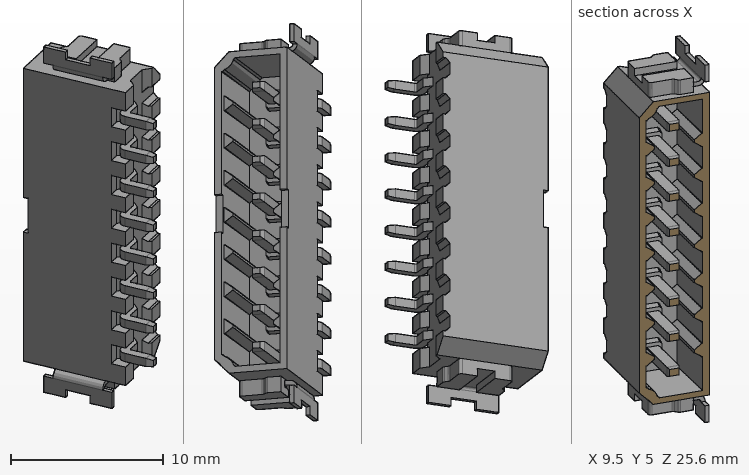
import cadquery as cq


BODY_DEPTH = 7.5
BODY_THICKNESS = 5.0
TOTAL_HEIGHT = 25.6
CLIP_REACH = 1.95
BODY_HALF = TOTAL_HEIGHT / 2 - CLIP_REACH
CORNER_CHAMFER = 1.0

SIDE_WALL = 0.49
END_WALL = 0.44
WALL_DRAFT = 0.08
FLOOR_X = 5.63
CORNER_BEAD = 0.87
BEAD_STEP = 0.13
BEAD_MIDDLE = 0.5
MOUTH_NOTCH_DEPTH = 0.33
MOUTH_NOTCH_WIDTH = 2.55

PIN_COUNT = 8
PITCH = 2.5
PIN_Y = BODY_THICKNESS / 2
PIN_ZS = [(i - (PIN_COUNT - 1) / 2) * PITCH for i in range(PIN_COUNT)]
BLADE_TIP_X = 1.18
BLADE_TAPER = 0.49
BLADE_Y, BLADE_Z = 0.85, 0.65
BLADE_TIP_Y, BLADE_TIP_Z = 0.55, 0.4
TAIL_SIZE = 0.61
TAIL_END_X = 9.5
TAIL_TAPER = 0.49
TAIL_TIP_SIZE = 0.45
BEND_RADIUS = 0.56
BEND_INNER_RADIUS = 0.13
ELBOW_Y = 1.72
ELBOW_OFFSET = 0.25

BOSS_Y, BOSS_Z = 1.43, 1.33
BOSS_HEIGHT = 0.5
BOSS_TAPER = 0.08
BOSS_CORNER = 0.15

RIB_START_X = 0.5
RIB_HEIGHT = 0.55
RIB_WIDTH = 0.97
RIB_TIP_WIDTH = 0.2

GROOVE_DEPTH = 0.49
GROOVE_BOTTOM_Y = 1.66
GROOVE_TOP_Y = 3.33
NOTCH_DEPTH = 1.05
NOTCH_HEIGHT = 1.4
NOTCH_ROOF_Y = 0.77
GUSSET_SIZE = 0.3

BLOCK_HEIGHT = 1.05
BLOCK_BOTTOM_Y = 1.0
BLOCK_TOP_Y = BODY_THICKNESS - CORNER_CHAMFER
BLOCK_CENTER_X = 4.0
BLOCK_WIDE = 4.4
BLOCK_NARROW = 3.8
BLOCK_SHOULDER_Y = 2.0
BLOCK_CORNER_RADIUS = 0.2
CHANNEL_WIDTH = 1.23

CLIP_THICKNESS = 0.3
CLIP_PLATE_Z = 0.23
CLIP_BEND_RADIUS = 0.5
CLIP_BEND_WIDTH = 3.65
CLIP_SHOULDER_Y = 0.92
CLIP_SHOULDER_RADIUS = 0.13
CLIP_NECK_WIDTH = 2.6
CLIP_FOOT_WIDTH = 5.02
CLIP_FOOT_START = 0.75
CLIP_NOTCH_WIDTH = 1.8
CLIP_NOTCH_DEPTH = 0.56


def box(x0, x1, y0, y1, z0, z1):
    """Box between opposite corner coordinates."""
    return cq.Workplane("XY").box(x1 - x0, y1 - y0, z1 - z0, centered=False).translate((x0, y0, z0))


def centered_section(x, y_size, z_size):
    """Rectangle across X, centred on the pin line."""
    return cq.Workplane("YZ", origin=(x, PIN_Y, 0)).rect(y_size, z_size)


def make_shell():
    """Solid housing block with the two keyed corners chamfered."""
    shell = box(0, BODY_DEPTH, 0, BODY_THICKNESS, -BODY_HALF, BODY_HALF)
    return shell.edges("|X and >Y").chamfer(CORNER_CHAMFER)


def make_cavity():
    """Open cavity with beaded corners on the keyed side and drafted side walls."""
    bottom = SIDE_WALL + WALL_DRAFT
    top = BODY_THICKNESS - bottom
    end = BODY_HALF - END_WALL
    bead_end = CORNER_BEAD - BEAD_STEP

    def corner(along_y, along_z, side):
        return (top - along_y, side * (end - along_z))

    cavity = (
        cq.Workplane("YZ")
        .moveTo(bottom, -end)
        .lineTo(*corner(CORNER_BEAD, 0, -1))
        .lineTo(*corner(bead_end, BEAD_STEP, -1))
        .threePointArc(corner(BEAD_MIDDLE, BEAD_MIDDLE, -1), corner(BEAD_STEP, bead_end, -1))
        .lineTo(*corner(0, CORNER_BEAD, -1))
        .lineTo(*corner(0, CORNER_BEAD, 1))
        .lineTo(*corner(BEAD_STEP, bead_end, 1))
        .threePointArc(corner(BEAD_MIDDLE, BEAD_MIDDLE, 1), corner(bead_end, BEAD_STEP, 1))
        .lineTo(*corner(CORNER_BEAD, 0, 1))
        .lineTo(bottom, end)
        .close()
        .extrude(FLOOR_X)
    )
    for wall, opened, half in (
        (bottom, SIDE_WALL, end),
        (top, BODY_THICKNESS - SIDE_WALL, end - CORNER_BEAD),
    ):
        wedge = (
            cq.Workplane("XY", origin=(0, 0, -half))
            .polyline([(0, opened), (0, PIN_Y), (FLOOR_X, PIN_Y), (FLOOR_X, wall)])
            .close()
            .extrude(2 * half)
        )
        cavity = cavity.union(wedge)
    return cavity


def make_rib(z, wall_y, inward):
    """Tapered rib with a narrow flat crest, buried in the side wall; inward is +1 or -1 along Y."""
    base_y = wall_y + inward * WALL_DRAFT
    return (
        cq.Workplane("YZ", origin=(RIB_START_X, 0, z))
        .polyline([
            (wall_y - inward * WALL_DRAFT, -RIB_WIDTH / 2),
            (base_y, -RIB_WIDTH / 2),
            (base_y + inward * RIB_HEIGHT, -RIB_TIP_WIDTH / 2),
            (base_y + inward * RIB_HEIGHT, RIB_TIP_WIDTH / 2),
            (base_y, RIB_WIDTH / 2),
            (wall_y - inward * WALL_DRAFT, RIB_WIDTH / 2),
        ])
        .close()
        .extrude(FLOOR_X - RIB_START_X)
    )


def make_boss():
    """Tapered boss with chamfered corners on the cavity floor."""
    boss = (
        centered_section(FLOOR_X, BOSS_Y, BOSS_Z)
        .workplane(offset=-BOSS_HEIGHT)
        .rect(BOSS_Y - 2 * BOSS_TAPER, BOSS_Z - 2 * BOSS_TAPER)
        .loft()
    )
    return boss.edges("not(|Y or |Z)").chamfer(BOSS_CORNER)


def make_groove():
    """Full-length groove with 45 degree flanks in the rear face."""
    rear = BODY_DEPTH
    floor = BODY_DEPTH - GROOVE_DEPTH
    return (
        cq.Workplane("XY", origin=(0, 0, -BODY_HALF))
        .polyline([
            (rear, GROOVE_BOTTOM_Y - GROOVE_DEPTH),
            (floor, GROOVE_BOTTOM_Y),
            (floor, GROOVE_TOP_Y),
            (rear, GROOVE_TOP_Y + GROOVE_DEPTH),
        ])
        .close()
        .extrude(2 * BODY_HALF)
    )


def make_pin_notch():
    """Slot for one tail: sloped-roof pocket below the groove, slot with 45 degree gussets above."""
    deep = BODY_DEPTH - NOTCH_DEPTH
    floor = BODY_DEPTH - GROOVE_DEPTH
    half = NOTCH_HEIGHT / 2
    pocket = (
        cq.Workplane("XY", origin=(0, 0, -half))
        .polyline([
            (deep, 0),
            (deep, NOTCH_ROOF_Y),
            (floor, NOTCH_ROOF_Y + floor - deep),
            (floor, GROOVE_TOP_Y),
            (BODY_DEPTH, GROOVE_TOP_Y),
            (BODY_DEPTH, 0),
        ])
        .close()
        .extrude(NOTCH_HEIGHT)
    )
    slot = (
        cq.Workplane("XZ", origin=(0, GROOVE_TOP_Y, 0))
        .polyline([
            (floor, -half + GUSSET_SIZE),
            (floor + GUSSET_SIZE, -half),
            (BODY_DEPTH, -half),
            (BODY_DEPTH, half),
            (floor + GUSSET_SIZE, half),
            (floor, half - GUSSET_SIZE),
        ])
        .close()
        .extrude(-(BODY_THICKNESS - GROOVE_TOP_Y))
    )
    return pocket.union(slot)


def make_blade():
    """Straight contact blade with a tapered tip."""
    taper_end = BLADE_TIP_X + BLADE_TAPER
    tip = (
        centered_section(BLADE_TIP_X, BLADE_TIP_Y, BLADE_TIP_Z)
        .workplane(offset=BLADE_TAPER)
        .rect(BLADE_Y, BLADE_Z)
        .loft()
    )
    shaft = centered_section(taper_end, BLADE_Y, BLADE_Z).extrude(FLOOR_X - taper_end)
    return tip.union(shaft)


def make_tail():
    """Bent tail: 45 degree elbow out of the housing, leg down to the board, straight run, tapered tip."""
    leg_rear = BODY_DEPTH
    leg_front = leg_rear - TAIL_SIZE
    blade_top = PIN_Y + TAIL_SIZE / 2
    blade_bottom = PIN_Y - TAIL_SIZE / 2
    inner_elbow_y = ELBOW_Y - ELBOW_OFFSET
    straight_end = TAIL_END_X - TAIL_TAPER
    corner = BEND_INNER_RADIUS
    tail = (
        cq.Workplane("XY", origin=(0, 0, -TAIL_SIZE / 2))
        .moveTo(FLOOR_X, blade_top)
        .lineTo(leg_rear - (blade_top - ELBOW_Y), blade_top)
        .lineTo(leg_rear, ELBOW_Y)
        .lineTo(leg_rear, TAIL_SIZE + corner)
        .radiusArc((leg_rear + corner, TAIL_SIZE), -corner)
        .lineTo(straight_end, TAIL_SIZE)
        .lineTo(straight_end, 0)
        .lineTo(leg_front + BEND_RADIUS, 0)
        .radiusArc((leg_front, BEND_RADIUS), BEND_RADIUS)
        .lineTo(leg_front, inner_elbow_y)
        .lineTo(leg_front - (blade_bottom - inner_elbow_y), blade_bottom)
        .lineTo(FLOOR_X, blade_bottom)
        .close()
        .extrude(TAIL_SIZE)
    )
    tip = (
        cq.Workplane("YZ", origin=(straight_end, TAIL_SIZE / 2, 0))
        .rect(TAIL_SIZE, TAIL_SIZE)
        .workplane(offset=TAIL_TAPER)
        .rect(TAIL_TIP_SIZE, TAIL_TIP_SIZE)
        .loft()
    )
    return tail.union(tip)


def make_end_block():
    """Shouldered block on the upper housing end, split by a channel level with the clip plate."""
    wide = BLOCK_WIDE / 2
    narrow = BLOCK_NARROW / 2
    shoulder_top = BLOCK_SHOULDER_Y + wide - narrow
    block = (
        cq.Workplane("XY", origin=(BLOCK_CENTER_X, 0, BODY_HALF))
        .polyline([
            (-wide, BLOCK_BOTTOM_Y),
            (wide, BLOCK_BOTTOM_Y),
            (wide, BLOCK_SHOULDER_Y),
            (narrow, shoulder_top),
            (narrow, BLOCK_TOP_Y),
            (-narrow, BLOCK_TOP_Y),
            (-narrow, shoulder_top),
            (-wide, BLOCK_SHOULDER_Y),
        ])
        .close()
        .extrude(BLOCK_HEIGHT)
        .edges("|Z and (not <Y)")
        .fillet(BLOCK_CORNER_RADIUS)
    )
    channel = box(
        BLOCK_CENTER_X - CHANNEL_WIDTH / 2, BLOCK_CENTER_X + CHANNEL_WIDTH / 2,
        0, BODY_THICKNESS,
        BODY_HALF + CLIP_PLATE_Z + CLIP_THICKNESS, BODY_HALF + BLOCK_HEIGHT,
    )
    return block.cut(channel)


def make_clip():
    """Sheet-metal L: plate out of the end block, bend, and a notched solder foot."""
    plate_low = BODY_HALF + CLIP_PLATE_Z
    plate_high = plate_low + CLIP_THICKNESS
    bend_end = plate_low + CLIP_BEND_RADIUS
    foot_start = BODY_HALF + CLIP_FOOT_START
    foot_end = BODY_HALF + CLIP_REACH
    inner_radius = CLIP_BEND_RADIUS - CLIP_THICKNESS
    bend = (
        cq.Workplane("YZ", origin=(BLOCK_CENTER_X - CLIP_BEND_WIDTH / 2, 0, 0))
        .moveTo(CLIP_SHOULDER_Y, plate_low)
        .lineTo(CLIP_BEND_RADIUS, plate_low)
        .radiusArc((0, bend_end), CLIP_BEND_RADIUS)
        .lineTo(0, foot_end)
        .lineTo(CLIP_THICKNESS, foot_end)
        .lineTo(CLIP_THICKNESS, bend_end)
        .radiusArc((CLIP_THICKNESS + inner_radius, plate_high), -inner_radius)
        .lineTo(CLIP_SHOULDER_Y, plate_high)
        .close()
        .extrude(CLIP_BEND_WIDTH)
        .edges("|Z and >Y")
        .fillet(CLIP_SHOULDER_RADIUS)
    )
    neck = box(
        BLOCK_CENTER_X - CLIP_NECK_WIDTH / 2, BLOCK_CENTER_X + CLIP_NECK_WIDTH / 2,
        CLIP_BEND_RADIUS, BLOCK_BOTTOM_Y, plate_low, plate_high,
    )
    foot = box(
        BLOCK_CENTER_X - CLIP_FOOT_WIDTH / 2, BLOCK_CENTER_X + CLIP_FOOT_WIDTH / 2,
        0, CLIP_THICKNESS, foot_start, foot_end,
    )
    notch = box(
        BLOCK_CENTER_X - CLIP_NOTCH_WIDTH / 2, BLOCK_CENTER_X + CLIP_NOTCH_WIDTH / 2,
        0, CLIP_THICKNESS, foot_end - CLIP_NOTCH_DEPTH, foot_end,
    )
    return bend.union(neck).union(foot).cut(notch)


result = make_shell().cut(make_cavity()).cut(make_groove())
mouth_notch = box(
    0, MOUTH_NOTCH_DEPTH, 0, BODY_THICKNESS, -MOUTH_NOTCH_WIDTH / 2, MOUTH_NOTCH_WIDTH / 2
)
result = result.cut(mouth_notch)
pin_notch = make_pin_notch()
for z in PIN_ZS:
    result = result.cut(pin_notch.translate((0, 0, z)))

for z in PIN_ZS[:-1]:
    rib_z = z + PITCH / 2
    result = result.union(make_rib(rib_z, SIDE_WALL, 1))
    result = result.union(make_rib(rib_z, BODY_THICKNESS - SIDE_WALL, -1))

pin = make_blade().union(make_boss()).union(make_tail())
for z in PIN_ZS:
    result = result.union(pin.translate((0, 0, z)))

end_fitting = make_end_block().union(make_clip())
result = result.union(end_fitting).union(end_fitting.mirror("XY"))